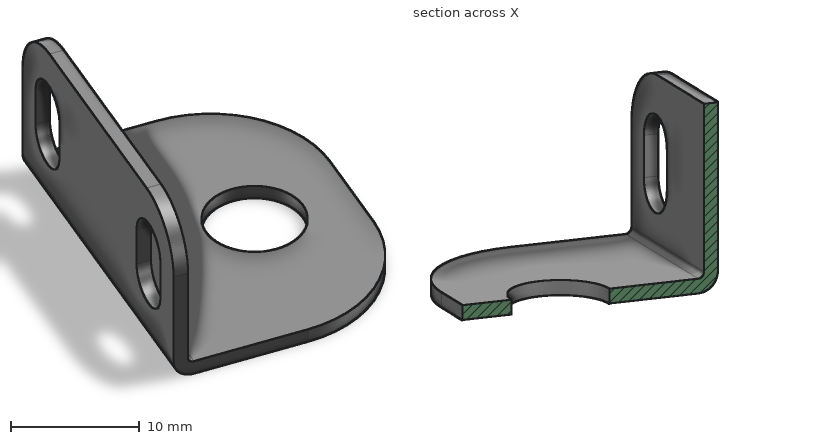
import cadquery as cq

width = 28.57
depth = 21.6
height = 15.23

thickness = 1.23
inner_bend_radius = 0.49
outer_bend_radius = inner_bend_radius + thickness

base_corner_radius = 10.17
wall_corner_radius = 5.1

hole_diameter = 8.23
hole_from_wall_face = 13.3

slot_spacing = 19.08
slot_width = 4.5
slot_length = 7.9
slot_center_height = 8.03


def bent_sheet():
    """L profile with a rounded bend, centred on X; wall face at Y = 0, underside at Z = 0."""
    block = cq.Workplane("XY").box(width, depth, height, centered=(True, False, False))
    block = block.edges("|X and <Y and <Z").fillet(outer_bend_radius)
    inside = (
        cq.Workplane("XY")
        .box(width, depth, height, centered=(True, False, False))
        .edges("|X and <Y and <Z")
        .fillet(inner_bend_radius)
        .translate((0, thickness, thickness))
    )
    return block.cut(inside)


def round_hole():
    return (
        cq.Workplane("XY")
        .center(0, hole_from_wall_face)
        .circle(hole_diameter / 2)
        .extrude(thickness)
    )


def wall_slots():
    return (
        cq.Workplane("XZ")
        .pushPoints([(side * slot_spacing / 2, slot_center_height) for side in (-1, 1)])
        .slot2D(slot_length, slot_width, angle=90)
        .extrude(-thickness)
    )


bracket = bent_sheet()
bracket = bracket.edges("|Z and >Y").fillet(base_corner_radius)
bracket = bracket.faces(">Z").edges("|Y").fillet(wall_corner_radius)
result = bracket.cut(round_hole()).cut(wall_slots())